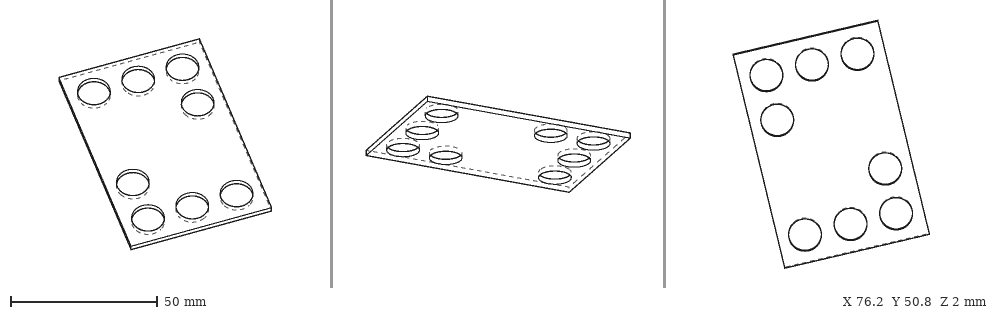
import cadquery as cq

length = 76.2
width = 50.8
thickness = 2.0

hole_diameter = 11.2
hole_pitch = 16.0
column_x = 28.5

right_holes = [(column_x, row * hole_pitch) for row in (-1, 0, 1)]
right_holes.append((column_x - hole_pitch, -hole_pitch))

left_holes = [(-x, -y) for x, y in right_holes]

result = (
    cq.Workplane("XY")
    .box(length, width, thickness)
    .faces(">Z")
    .workplane()
    .pushPoints(right_holes + left_holes)
    .hole(hole_diameter)
)